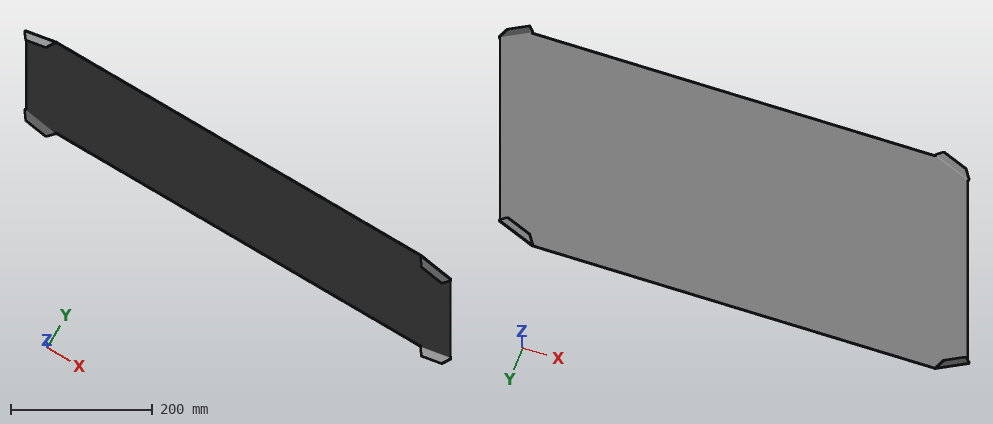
import cadquery as cq
import math

overall = 700.5
depth = 13.0
sheet = 1.0
bend_radius = 2 * sheet
corner_cut = 49.0
tab_straight = 3.0
tab_end_inset = 11.0

back = depth / 2
front = -depth / 2
tab_length = corner_cut * math.sqrt(2)
tab_face = (overall - corner_cut) / math.sqrt(2)
bend_start = tab_face - bend_radius
sheet_side = overall - math.sqrt(2) * bend_radius


def make_panel():
    """Sheet with its four corners clipped at 45 degrees."""
    return (
        cq.Workplane("XY")
        .box(sheet_side, sheet, sheet_side)
        .edges("|Y")
        .chamfer(corner_cut)
        .translate((0, back - sheet / 2, 0))
    )


def make_tab():
    """Bent tab facing +X, with tapered ends."""
    base_half = tab_length / 2
    tip_half = base_half - tab_end_inset
    taper_start = back - tab_straight
    inner_radius = bend_radius - sheet
    bend_centre_y = back - bend_radius
    diagonal = math.sqrt(0.5)
    section = (
        cq.Workplane("XY")
        .moveTo(bend_start, back)
        .threePointArc(
            (bend_start + bend_radius * diagonal, bend_centre_y + bend_radius * diagonal),
            (tab_face, bend_centre_y),
        )
        .lineTo(tab_face, front)
        .lineTo(tab_face - sheet, front)
        .lineTo(tab_face - sheet, bend_centre_y)
        .threePointArc(
            (bend_start + inner_radius * diagonal, bend_centre_y + inner_radius * diagonal),
            (bend_start, back - sheet),
        )
        .close()
        .extrude(base_half, both=True)
    )
    outline = (
        cq.Workplane("YZ")
        .workplane(offset=bend_start)
        .polyline([
            (back, -base_half),
            (taper_start, -base_half),
            (front, -tip_half),
            (front, tip_half),
            (taper_start, base_half),
            (back, base_half),
        ])
        .close()
        .extrude(bend_radius)
    )
    return section.intersect(outline)


result = make_panel()
tab = make_tab()
for corner_angle in (45, 135, 225, 315):
    result = result.union(tab.rotate((0, 0, 0), (0, 1, 0), corner_angle))